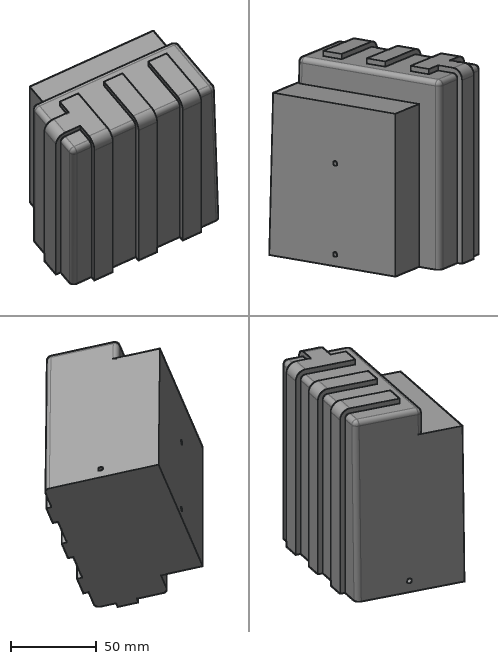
import cadquery as cq
import math

overall_width = 73.0
overall_height = 117.5
rear_at_base = 104.86
draft_angle = 1.57

strap_thickness = 3.17
strap_width = 12.7
side_strap_left = 34.7
side_strap_first_y = 22.9
side_strap_pitch = 30.25
side_strap_count = 3
front_strap_x = 50.9

edge_radius = 3.2
body_left = 25.45
body_right = overall_width - strap_thickness
body_front = strap_thickness
body_height = overall_height - strap_thickness
strap_bend_radius = edge_radius + strap_thickness

box_front = 17.45
box_height = 98.4
box_right = body_left + edge_radius

hole_depth = 10.0
left_hole_diameter = 2.8
left_hole_y = 59.2
left_hole_heights = (7.2, 62.2)
rear_hole_diameter = 3.0
rear_hole_x = 35.4
rear_hole_z = 7.2


def drafted_block(left, right, front, top):
    """Block standing on Z = 0 whose rear face leans toward the front."""
    rear_at_top = rear_at_base - top * math.tan(math.radians(draft_angle))
    side_profile = [(front, 0), (rear_at_base, 0), (rear_at_top, top), (front, top)]
    return cq.Workplane("YZ", origin=(left, 0, 0)).polyline(side_profile).close().extrude(right - left)


def make_body():
    """Drafted block rounded on every edge except those of its flat bottom."""
    block = drafted_block(body_left, body_right, body_front, body_height)
    bottom_edges = cq.selectors.DirectionMinMaxSelector(cq.Vector(0, 0, 1), directionMax=False)
    all_edges = cq.selectors.Selector()
    return block.edges(all_edges - bottom_edges).fillet(edge_radius)


def make_box():
    return drafted_block(0, box_right, box_front, box_height)


def make_side_strap(center_y):
    """Strap across the top that bends down the +X face."""
    length = overall_width - side_strap_left
    strap = cq.Workplane("XY").box(length, strap_width, overall_height, centered=(False, True, False))
    strap = strap.edges(">X and >Z").fillet(strap_bend_radius)
    return strap.translate((side_strap_left, center_y, 0))


def make_front_strap():
    """Strap from the first side strap that bends down the -Y face."""
    length = side_strap_first_y
    strap = cq.Workplane("XY").box(strap_width, length, overall_height, centered=(True, False, False))
    strap = strap.edges("<Y and >Z").fillet(strap_bend_radius)
    return strap.translate((front_strap_x, 0, 0))


def make_left_hole(z):
    """Blind hole into the -X face of the side box."""
    return cq.Workplane("YZ").center(left_hole_y, z).circle(left_hole_diameter / 2).extrude(hole_depth)


def make_rear_hole():
    """Blind hole into the drafted rear face."""
    rear_plane = cq.Workplane("XZ", origin=(rear_hole_x, rear_at_base, rear_hole_z))
    return rear_plane.circle(rear_hole_diameter / 2).extrude(hole_depth)


result = make_body().union(make_box())

for index in range(side_strap_count):
    result = result.union(make_side_strap(side_strap_first_y + index * side_strap_pitch))
result = result.union(make_front_strap())

for hole_z in left_hole_heights:
    result = result.cut(make_left_hole(hole_z))
result = result.cut(make_rear_hole())